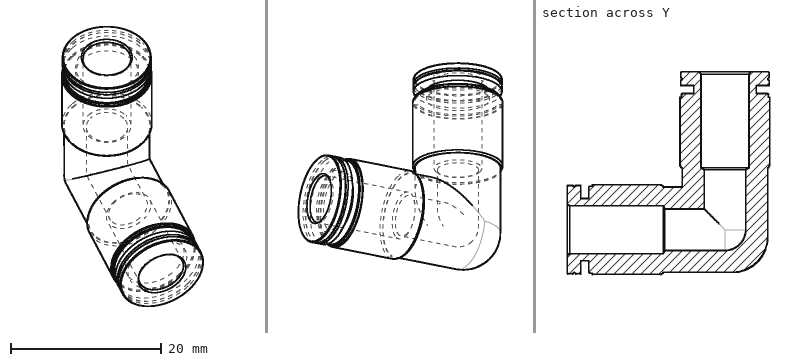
import cadquery as cq
import math

overall_size = 27.0
body_diameter = 12.0
body_radius = body_diameter / 2
arm_length = overall_size - body_radius

elbow_radius = 11.4 / 2
corner_offset = 1.0

sleeve_top_depth = 3.38
sleeve_edge_depth = 12.47
sleeve_end_depth = 12.77
sleeve_end_radius = 11.6 / 2

lip_radius = 11.6 / 2
lip_top_depth = 2.9
lip_chamfer = 0.14

neck_radius = 8.35 / 2
rim_radius = 11.8 / 2
rim_chamfer = 0.1
collar_depth = 1.84
groove_start_depth = 0.75
groove_width = 0.4
groove_bottom_radius = rim_radius - groove_width / 2

mouth_radius = 6.75 / 2
mouth_depth = 0.35
tube_bore_radius = 6.35 / 2
tube_bore_depth = sleeve_end_depth
flow_radius = 5.5 / 2
seat_slope = math.radians(30)
seat_end_depth = tube_bore_depth + (tube_bore_radius - flow_radius) * math.tan(seat_slope)


def height(depth):
    """Z position at a given depth below the end of the arm."""
    return arm_length - depth


def revolve_about_z(points):
    return cq.Workplane("XZ").polyline(points).close().revolve(360, (0, 0, 0), (0, 1, 0))


def both_arms(arm):
    """Join the Z arm with its copy along X; a half turn about X = Z swaps the two axes."""
    return arm.union(arm.rotate((0, 0, 0), (1, 0, 1), 180))


def arm_fittings():
    """Sleeve, lip, neck and collar of the Z arm."""
    return revolve_about_z([
        (0, height(sleeve_end_depth)),
        (sleeve_end_radius, height(sleeve_end_depth)),
        (body_radius, height(sleeve_edge_depth)),
        (body_radius, height(sleeve_top_depth)),
        (lip_radius, height(sleeve_top_depth)),
        (lip_radius, height(lip_top_depth + lip_chamfer)),
        (lip_radius - lip_chamfer, height(lip_top_depth)),
        (neck_radius, height(lip_top_depth)),
        (neck_radius, height(collar_depth)),
        (rim_radius, height(collar_depth)),
        (rim_radius, height(groove_start_depth + groove_width)),
        (groove_bottom_radius, height(groove_start_depth + groove_width / 2)),
        (rim_radius, height(groove_start_depth)),
        (rim_radius, height(rim_chamfer)),
        (rim_radius - rim_chamfer, height(0)),
        (0, height(0)),
    ])


def elbow_tube():
    """Tube of the Z arm, cut by the mitre plane X = Z and ending level with the corner axis."""
    tube_top = height(sleeve_end_depth)
    tube = (
        cq.Workplane("XY", origin=(0, 0, -corner_offset))
        .circle(elbow_radius)
        .extrude(tube_top + corner_offset)
    )
    mitre_side = (
        cq.Workplane("XZ")
        .polyline([
            (-corner_offset, -corner_offset),
            (-body_radius, -corner_offset),
            (-body_radius, tube_top),
            (tube_top, tube_top),
        ])
        .close()
        .extrude(body_radius, both=True)
    )
    return tube.intersect(mitre_side)


def rounded_corner():
    """Quarter turn of the tube section's outer part, about an axis parallel to Y."""
    half_width = math.sqrt(elbow_radius**2 - corner_offset**2)
    return (
        cq.Workplane("XY", origin=(-corner_offset, 0, -corner_offset))
        .moveTo(0, half_width)
        .threePointArc((corner_offset - elbow_radius, 0), (0, -half_width))
        .close()
        .revolve(90, (0, 0, 0), (0, -1, 0))
    )


def arm_bore():
    """Bore of the Z arm with a tapered mouth and tube seat, reaching the axis crossing."""
    return revolve_about_z([
        (0, 0),
        (flow_radius, 0),
        (flow_radius, height(seat_end_depth)),
        (tube_bore_radius, height(tube_bore_depth)),
        (tube_bore_radius, height(mouth_depth)),
        (mouth_radius, height(0)),
        (0, height(0)),
    ])


outside = both_arms(arm_fittings().union(elbow_tube())).union(rounded_corner())
passage = both_arms(arm_bore()).union(cq.Workplane("XY").sphere(flow_radius))
result = outside.cut(passage)